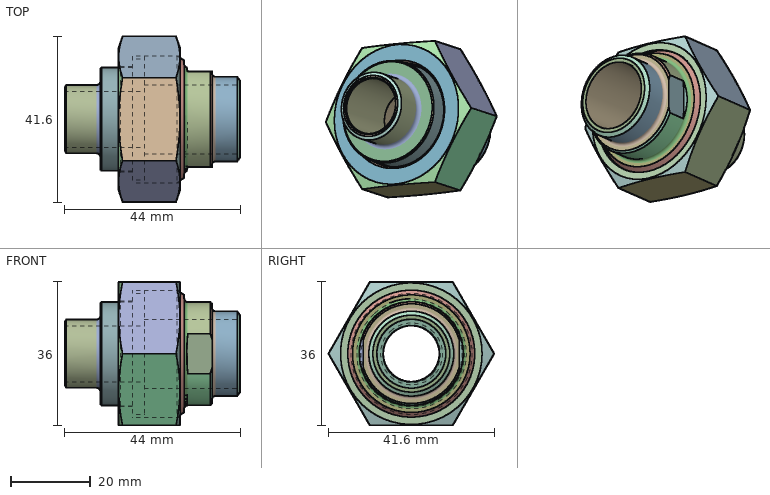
import cadquery as cq
import math


total_length = 44.0
tail_shoulder_x = 9.0
nut_start_x = 13.5
nut_length = 15.5
nut_lip_thickness = 3.5
head_thickness = 3.0
thread_end_x = 30.0
hub_end_x = 37.0
nut_end_x = nut_start_x + nut_length
head_start_x = nut_start_x + nut_lip_thickness
joint_x = head_start_x + head_thickness

tail_radius = 17.2 / 2
tail_bore_radius = 14.0 / 2
tail_bore_chamfer = 0.25
tail_land = 0.5
tail_bevel_length = 0.43
tail_fillet = 1.0
collar_radius = 26.0 / 2
collar_chamfer = 0.35
head_radius = 30.38 / 2

nut_width = 36.0
nut_face_radius = 35.5 / 2
nut_corner_chamfer = 1.05
nut_hole_radius = 26.5 / 2
nut_hole_chamfer = 0.5
nut_corner_radius = nut_width / math.sqrt(3)

thread_radius = 31.85 / 2
thread_tip_radius = 29.5 / 2
thread_chamfer_angle = 32.0
hub_radius = 26.0 / 2
hub_chamfer = 0.5
hub_fillet = 0.8
pipe_radius = 21.3 / 2
pipe_bore_radius = 17.3 / 2
pipe_land = 1.0
weld_bevel_angle = 37.5
wrench_flat_width = 24.0
wrench_flat_start_x = 30.62
wrench_cutter_radius = 45.0


def revolve_about_x(profile):
    """Turn a closed profile of (x, radius) points about the X axis."""
    return profile.close().revolve(360, (0, 0, 0), (1, 0, 0))


def concave_fillet(profile, start, end, center):
    """Add a quarter-circle arc from start to end that bulges into the inside corner."""
    radius = math.dist(start, center)
    corner_x = start[0] + end[0] - center[0]
    corner_r = start[1] + end[1] - center[1]
    scale = radius / math.dist((corner_x, corner_r), center)
    middle = (
        center[0] + (corner_x - center[0]) * scale,
        center[1] + (corner_r - center[1]) * scale,
    )
    return profile.threePointArc(middle, end)


def make_tailpiece():
    mouth_radius = tail_bore_radius + tail_bore_chamfer
    fillet_start = (tail_shoulder_x - tail_fillet, tail_radius)
    fillet_end = (tail_shoulder_x, tail_radius + tail_fillet)
    fillet_center = (fillet_start[0], fillet_end[1])
    profile = (
        cq.Workplane("XY")
        .moveTo(tail_bore_chamfer, tail_bore_radius)
        .lineTo(0, mouth_radius)
        .lineTo(0, mouth_radius + tail_land)
        .lineTo(tail_bevel_length, tail_radius)
        .lineTo(*fillet_start)
    )
    profile = (
        concave_fillet(profile, fillet_start, fillet_end, fillet_center)
        .lineTo(tail_shoulder_x, collar_radius - collar_chamfer)
        .lineTo(tail_shoulder_x + collar_chamfer, collar_radius)
        .lineTo(head_start_x, collar_radius)
        .lineTo(head_start_x, head_radius)
        .lineTo(joint_x, head_radius)
        .lineTo(joint_x, tail_bore_radius)
    )
    return revolve_about_x(profile)


def make_union_nut():
    hexagon = (
        cq.Workplane("YZ", origin=(nut_start_x, 0, 0))
        .polygon(6, 2 * nut_corner_radius)
        .extrude(nut_length)
    )
    envelope = revolve_about_x(
        cq.Workplane("XY")
        .moveTo(nut_start_x, 0)
        .lineTo(nut_start_x, nut_face_radius)
        .lineTo(nut_start_x + nut_corner_chamfer, nut_corner_radius)
        .lineTo(nut_end_x - nut_corner_chamfer, nut_corner_radius)
        .lineTo(nut_end_x, nut_face_radius)
        .lineTo(nut_end_x, 0)
    )
    bore = revolve_about_x(
        cq.Workplane("XY")
        .moveTo(nut_start_x, 0)
        .lineTo(nut_start_x, nut_hole_radius + nut_hole_chamfer)
        .lineTo(nut_start_x + nut_hole_chamfer, nut_hole_radius)
        .lineTo(head_start_x, nut_hole_radius)
        .lineTo(head_start_x, thread_radius)
        .lineTo(nut_end_x, thread_radius)
        .lineTo(nut_end_x, 0)
    )
    return hexagon.intersect(envelope).cut(bore)


def make_body():
    thread_chamfer_rise = thread_radius - thread_tip_radius
    thread_chamfer_length = thread_chamfer_rise / math.tan(math.radians(thread_chamfer_angle))
    bevel_end_radius = pipe_bore_radius + pipe_land
    bevel_length = (pipe_radius - bevel_end_radius) * math.tan(math.radians(weld_bevel_angle))

    hub_fillet_start = (thread_end_x, hub_radius + hub_fillet)
    hub_fillet_end = (thread_end_x + hub_fillet, hub_radius)
    pipe_fillet_start = (hub_end_x, pipe_radius + hub_fillet)
    pipe_fillet_end = (hub_end_x + hub_fillet, pipe_radius)

    profile = (
        cq.Workplane("XY")
        .moveTo(joint_x, pipe_bore_radius)
        .lineTo(joint_x, thread_radius)
        .lineTo(thread_end_x - thread_chamfer_length, thread_radius)
        .lineTo(thread_end_x, thread_tip_radius)
        .lineTo(*hub_fillet_start)
    )
    hub_fillet_center = (hub_fillet_end[0], hub_fillet_start[1])
    profile = (
        concave_fillet(profile, hub_fillet_start, hub_fillet_end, hub_fillet_center)
        .lineTo(hub_end_x - hub_chamfer, hub_radius)
        .lineTo(hub_end_x, hub_radius - hub_chamfer)
        .lineTo(*pipe_fillet_start)
    )
    pipe_fillet_center = (pipe_fillet_end[0], pipe_fillet_start[1])
    profile = (
        concave_fillet(profile, pipe_fillet_start, pipe_fillet_end, pipe_fillet_center)
        .lineTo(total_length - bevel_length, pipe_radius)
        .lineTo(total_length, bevel_end_radius)
        .lineTo(total_length, pipe_bore_radius)
    )
    body = revolve_about_x(profile)

    flat_depth = hub_radius - wrench_flat_width / 2 + hub_fillet
    cutter_center_x = wrench_flat_start_x + wrench_cutter_radius
    for side in (-1, 1):
        cutter = (
            cq.Workplane("XZ", origin=(cutter_center_x, side * wrench_flat_width / 2, 0))
            .circle(wrench_cutter_radius)
            .extrude(-side * flat_depth)
        )
        body = body.cut(cutter)
    return body


tailpiece = make_tailpiece()
union_nut = make_union_nut()
body = make_body()

result = cq.Compound.makeCompound([tailpiece.val(), union_nut.val(), body.val()])